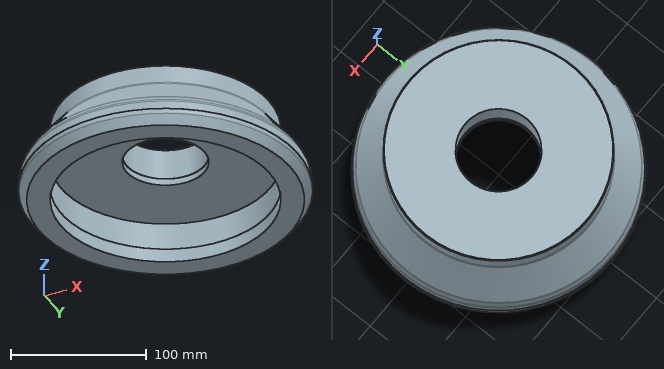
import cadquery as cq

height = 63.5
outer_radius = 108.7

hub_radius = 170.0 / 2
bore_radius = 63.5 / 2
relief_radius = 63.7 / 2
bore_step_depth = 25.0
web_thickness = 30.5

cone_top_z = 48.0
cone_bottom_z = 23.3
cone_bottom_radius = 105.5
band_top_z = 18.7
band_radius = 107.8
cavity_radius = hub_radius

top_chamfer = 0.7
neck_fillet = 2.2
skirt_fillet = 3.7

ring_height = 11.0
bulge_middle_z = 9.0
bulge_bottom_z = 7.0
bulge_bottom_radius = 108.0
ring_bottom_radius = 102.5

tolerance = 0.02


def revolve_about_z(profile):
    """Revolve a closed radius-height profile around the Z axis."""
    return profile.close().revolve(360, (0, 0, 0), (0, 1, 0))


def circular_edge(solid, radius, z):
    """Select the circular edge of the given radius at height z."""
    return solid.edges("%CIRCLE").filter(
        lambda edge: abs(edge.radius() - radius) < tolerance and abs(edge.Center().z - z) < tolerance
    )


def make_body():
    """Cup-shaped body with a cylindrical hub, conical skirt and stepped bore."""
    step_z = height - bore_step_depth
    web_bottom_z = height - web_thickness
    profile = (
        cq.Workplane("XZ")
        .moveTo(bore_radius, height)
        .lineTo(hub_radius, height)
        .lineTo(hub_radius, cone_top_z)
        .lineTo(cone_bottom_radius, cone_bottom_z)
        .lineTo(band_radius, band_top_z)
        .lineTo(band_radius, ring_height)
        .lineTo(cavity_radius, ring_height)
        .lineTo(cavity_radius, web_bottom_z)
        .lineTo(relief_radius, web_bottom_z)
        .lineTo(relief_radius, step_z)
        .lineTo(bore_radius, step_z)
    )
    body = revolve_about_z(profile)
    body = circular_edge(body, hub_radius, height).chamfer(top_chamfer)
    body = circular_edge(body, hub_radius, cone_top_z).fillet(neck_fillet)
    body = circular_edge(body, cone_bottom_radius, cone_bottom_z).fillet(skirt_fillet)
    return circular_edge(body, band_radius, band_top_z).fillet(skirt_fillet)


def make_rim_ring():
    """Ring seated under the skirt, with a bulged edge and a bevelled lower side."""
    profile = (
        cq.Workplane("XZ")
        .moveTo(cavity_radius, ring_height)
        .lineTo(band_radius, ring_height)
        .threePointArc((outer_radius, bulge_middle_z), (bulge_bottom_radius, bulge_bottom_z))
        .lineTo(ring_bottom_radius, 0)
        .lineTo(cavity_radius, 0)
    )
    return revolve_about_z(profile)


body = make_body()
rim_ring = make_rim_ring()
result = cq.Compound.makeCompound([body.val(), rim_ring.val()])